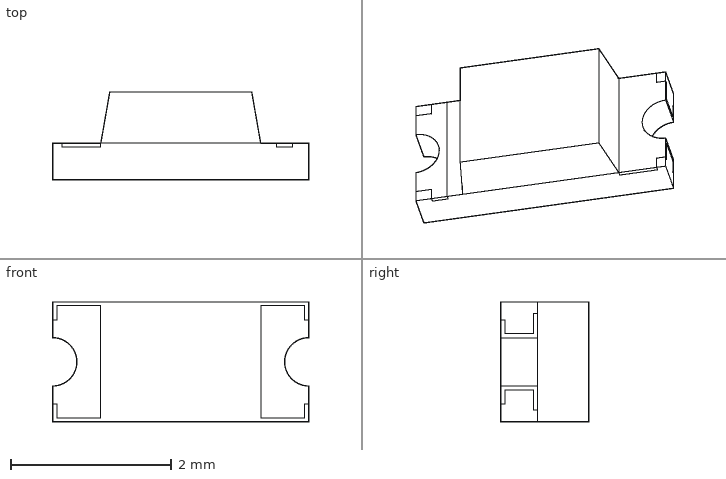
import cadquery as cq

length = 3.2
thickness = 1.1
width = 1.5

board_thickness = 0.46
groove_radius = 0.3

lens_base_length = 2.0
lens_tip_length = 1.775

metal = 0.05
terminal_length = (length - lens_base_length) / 2
mount_pad_width = 1.4
mount_pad_neck_width = 1.05
rear_pad_neck_width = 1.205
left_tab_start = 0.115
right_tab_start = 0.2
right_tab_end = 0.403


def box_from_left_end(x_start, x_end, y_start, y_end, z_width):
    """Box centred on Z, with X distances counted inwards from the left end."""
    return cq.Workplane("XY").box(
        x_end - x_start, y_end - y_start, z_width, centered=(False, False, True)
    ).translate((x_start - length / 2, y_start, 0))


def end_cylinder(radius):
    """Cylinder through the board thickness, its axis on the left end face."""
    axis_plane = cq.Plane(origin=(-length / 2, 0, 0), xDir=(1, 0, 0), normal=(0, 1, 0))
    return cq.Workplane(axis_plane).circle(radius).extrude(board_thickness)


def stepped_pad(step, end, neck_width, pad_width, y_start):
    """Flat pad that is narrow next to the end face and wide beyond the step."""
    y_end = y_start + metal
    neck = box_from_left_end(0, step, y_start, y_end, neck_width)
    tab = box_from_left_end(step, end, y_start, y_end, pad_width)
    return neck.union(tab)


def make_terminal(rear_tab_start, rear_tab_end):
    """Left-hand terminal: mounting pad and rear pad joined by the groove lining."""
    mount_pad = stepped_pad(metal, terminal_length, mount_pad_neck_width, mount_pad_width, 0)
    rear_pad = stepped_pad(
        rear_tab_start, rear_tab_end, rear_pad_neck_width, width, board_thickness - metal
    )
    inside_board = box_from_left_end(0, terminal_length, 0, board_thickness, width)
    lining = end_cylinder(groove_radius + metal).intersect(inside_board)
    return mount_pad.union(rear_pad).union(lining).cut(end_cylinder(groove_radius))


def make_board(terminals):
    """Rectangular board with an end groove at each end, recessed for the terminals."""
    board = box_from_left_end(0, length, 0, board_thickness, width)
    groove = end_cylinder(groove_radius)
    board = board.cut(groove).cut(groove.mirror("YZ"))
    for terminal in terminals:
        board = board.cut(terminal)
    return board


def make_lens():
    """Trapezoid standing on the rear face of the board, constant across the width."""
    outline = [
        (-lens_base_length / 2, board_thickness),
        (lens_base_length / 2, board_thickness),
        (lens_tip_length / 2, thickness),
        (-lens_tip_length / 2, thickness),
    ]
    return cq.Workplane("XY").polyline(outline).close().extrude(width / 2, both=True)


left_terminal = make_terminal(left_tab_start, terminal_length)
right_terminal = make_terminal(right_tab_start, right_tab_end).mirror("YZ")
board = make_board([left_terminal, right_terminal])
lens = make_lens()

bodies = [board, lens, left_terminal, right_terminal]
result = cq.Compound.makeCompound([body.solids().val() for body in bodies])